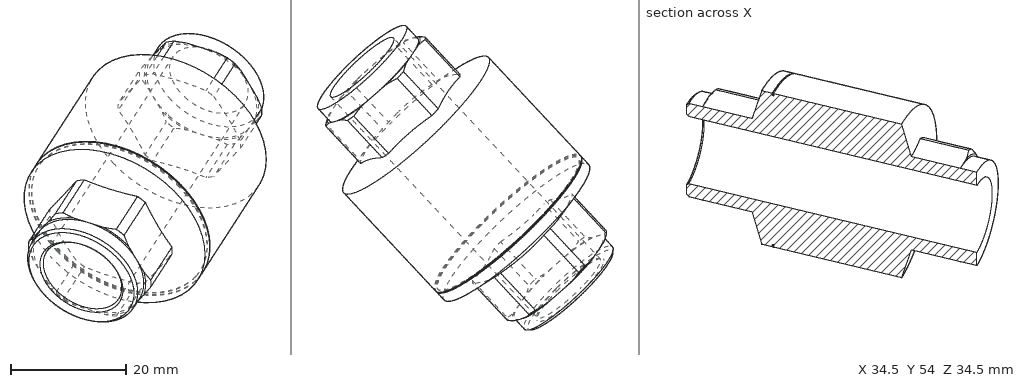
import cadquery as cq
import math

length = 54.0
bore_diameter = 14.95
bore_chamfer = 0.45

body_diameter = 34.5
body_front = -13.0
body_back = 13.0
cone_angle = 15.0

groove_diameter = 33.5
groove_front = -11.0
groove_width = 0.2

across_flats = 21.0
hex_corner_diameter = 23.35
spigot_diameter = across_flats
spigot_chamfer = 0.5
spigot_length = 3.0
hex_face_diameter = 21.75
hex_chamfer_angle = 30.0

end_y = length / 2
hex_end_y = end_y - spigot_length
body_radius = body_diameter / 2
spigot_radius = spigot_diameter / 2
cone_length = (body_radius - spigot_radius) * math.tan(math.radians(cone_angle))
hex_corner_radius = hex_corner_diameter / 2
hex_face_radius = hex_face_diameter / 2
hex_chamfer_length = (hex_corner_radius - hex_face_radius) * math.tan(math.radians(hex_chamfer_angle))


def revolve_about_y(points):
    """Turn a closed (radius, y) outline about the Y axis."""
    return cq.Workplane("XY").polyline(points).close().revolve(360, (0, 0, 0), (0, 1, 0))


def make_body():
    """Spigots and body, with a chamfer on the front spigot only."""
    return revolve_about_y([
        (0, -end_y),
        (spigot_radius - spigot_chamfer, -end_y),
        (spigot_radius, -end_y + spigot_chamfer),
        (spigot_radius, body_front - cone_length),
        (body_radius, body_front),
        (body_radius, groove_front),
        (groove_diameter / 2, groove_front),
        (groove_diameter / 2, groove_front + groove_width),
        (body_radius, groove_front + groove_width),
        (body_radius, body_back),
        (spigot_radius, body_back + cone_length),
        (spigot_radius, end_y),
        (0, end_y),
    ])


def make_hexagons():
    """Hexagon bar with turned corners and chamfered ends, hidden inside the body midway."""
    hex_bar = (
        cq.Workplane("XZ")
        .polygon(6, across_flats / math.cos(math.pi / 6))
        .extrude(hex_end_y, both=True)
    )
    turned_limit = revolve_about_y([
        (0, -hex_end_y),
        (hex_face_radius, -hex_end_y),
        (hex_corner_radius, -hex_end_y + hex_chamfer_length),
        (hex_corner_radius, hex_end_y - hex_chamfer_length),
        (hex_face_radius, hex_end_y),
        (0, hex_end_y),
    ])
    return hex_bar.intersect(turned_limit)


def make_bore():
    """Through bore with a chamfered mouth at the front."""
    bore_radius = bore_diameter / 2
    return revolve_about_y([
        (0, -end_y),
        (bore_radius + bore_chamfer, -end_y),
        (bore_radius, -end_y + bore_chamfer),
        (bore_radius, end_y),
        (0, end_y),
    ])


result = make_body().union(make_hexagons()).cut(make_bore())